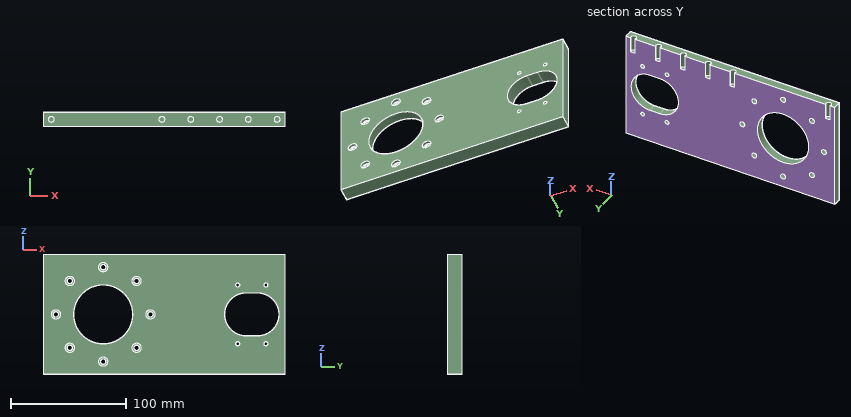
import cadquery as cq
import math

plate_length = 210.0
plate_thickness = 12.7
plate_height = 104.0
mid_height = plate_height / 2

bore_x = plate_height / 2
bore_diameter = 51.0
rear_recess_diameter = 70.0
rear_recess_depth = 4.0
bolt_count = 8
bolt_circle_radius = 41.0
bolt_hole_diameter = 4.5
counterbore_diameter = 8.0
counterbore_depth = 3.0

slot_centre_end_distance = 29.0
slot_x = plate_length - slot_centre_end_distance
slot_length = 47.0
slot_height = 37.0
small_hole_spacing_x = 24.5
small_hole_spacing_z = 51.0
small_hole_diameter = 3.3

edge_hole_diameter = 5.0
edge_hole_depth = 15.0
edge_hole_end_distance = 7.0
edge_hole_pitch = 25.0
edge_row_count = 5


def front_workplane():
    """Plane on the front face (Y = 0) with local axes along X and Z."""
    return cq.Workplane("XZ")


def through_holes(centres, diameter):
    """Cylinders running through the plate thickness."""
    return front_workplane().pushPoints(centres).circle(diameter / 2).extrude(-plate_thickness)


def plate():
    size = (plate_length, plate_thickness, plate_height)
    return cq.Workplane("XY").box(*size, centered=False)


def rear_recess():
    """Round recess on the back face, concentric with the bore."""
    back_face = front_workplane().workplane(offset=-plate_thickness)
    return back_face.center(bore_x, mid_height).circle(rear_recess_diameter / 2).extrude(rear_recess_depth)


def bolt_centres():
    centres = []
    for index in range(bolt_count):
        angle = 2 * math.pi * index / bolt_count
        x = bore_x + bolt_circle_radius * math.cos(angle)
        z = mid_height + bolt_circle_radius * math.sin(angle)
        centres.append((x, z))
    return centres


def counterbores():
    """Flat-bottomed recesses for the bolt heads, sunk from the front face."""
    recesses = front_workplane().pushPoints(bolt_centres()).circle(counterbore_diameter / 2)
    return recesses.extrude(-counterbore_depth)


def slot_opening():
    outline = front_workplane().center(slot_x, mid_height).slot2D(slot_length, slot_height)
    return outline.extrude(-plate_thickness)


def small_hole_centres():
    centres = []
    for side_x in (-1, 1):
        for side_z in (-1, 1):
            x = slot_x + side_x * small_hole_spacing_x / 2
            z = mid_height + side_z * small_hole_spacing_z / 2
            centres.append((x, z))
    return centres


def edge_holes():
    """One hole near the left end and an even row ending near the right end."""
    positions = [edge_hole_end_distance]
    for index in range(edge_row_count):
        positions.append(plate_length - edge_hole_end_distance - index * edge_hole_pitch)
    centres = [(x, plate_thickness / 2) for x in positions]
    top_face = cq.Workplane("XY").workplane(offset=plate_height)
    return top_face.pushPoints(centres).circle(edge_hole_diameter / 2).extrude(-edge_hole_depth)


result = (
    plate()
    .cut(through_holes([(bore_x, mid_height)], bore_diameter))
    .cut(rear_recess())
    .cut(through_holes(bolt_centres(), bolt_hole_diameter))
    .cut(counterbores())
    .cut(slot_opening())
    .cut(through_holes(small_hole_centres(), small_hole_diameter))
    .cut(edge_holes())
)